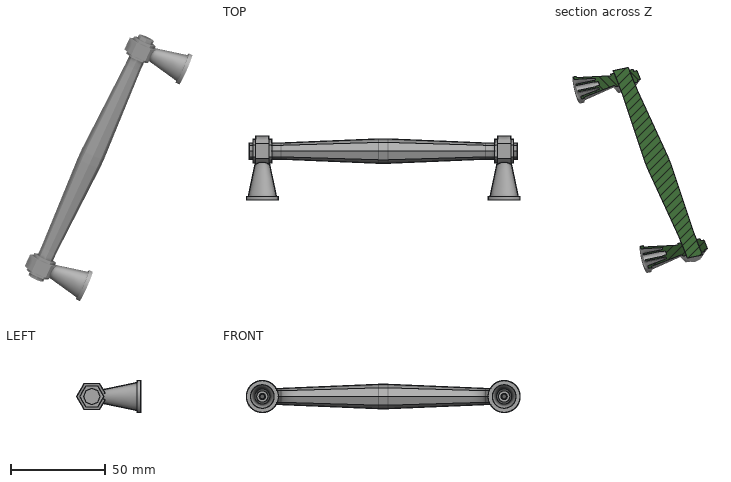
import cadquery as cq
import math

post_spacing = 128.0
foot_reach = 26.0

bar_sides = 8
bar_end_flats = 8.0
bar_middle_flats = 12.0
bar_middle_length = 5.0
bar_overhang = 7.0
bar_straight = 10.0

head_sides = 6
head_flats = 14.0
head_width = 7.0
collar_flats = 11.0
collar_width = 10.0

foot_diameter = 17.0
foot_thickness = 2.0
cone_base_diameter = 15.0
cone_top_diameter = 7.0
cone_top_offset = 5.0

recess_mouth_diameter = 12.5
recess_floor_diameter = 8.0
recess_depth = 11.0
boss_diameter = 6.0
screw_hole_diameter = 3.3
screw_hole_depth = 10.0
pilot_diameter = 2.5
pilot_depth = 12.0


def corner_diameter(flats, sides):
    """Across-corners size of a regular polygon from its across-flats size."""
    return flats / math.cos(math.pi / sides)


def polygon_at(x, flats, sides):
    """Regular polygon facing X at the given station, with corners on the Y axis."""
    plane = cq.Workplane("YZ", origin=(x, 0, 0))
    return plane.polygon(sides, corner_diameter(flats, sides))


def prism(x_start, x_end, flats, sides):
    return polygon_at(x_start, flats, sides).extrude(x_end - x_start)


def taper(x_start, x_end):
    """Bar section growing from the end size at x_start to the middle size at x_end."""
    start = polygon_at(x_start, bar_end_flats, bar_sides).wires().vals()[0]
    end = polygon_at(x_end, bar_middle_flats, bar_sides).wires().vals()[0]
    return cq.Workplane(cq.Solid.makeLoft([start, end], True))


def make_bar():
    half_middle = bar_middle_length / 2
    bar = prism(-half_middle, half_middle, bar_middle_flats, bar_sides)
    for side in (-1, 1):
        taper_end = side * (post_spacing / 2 - bar_straight)
        bar_end = side * (post_spacing / 2 + bar_overhang)
        bar = bar.union(taper(taper_end, side * half_middle))
        bar = bar.union(prism(taper_end, bar_end, bar_end_flats, bar_sides))
    return bar


def make_head(x):
    head = prism(x - head_width / 2, x + head_width / 2, head_flats, head_sides)
    collar = prism(x - collar_width / 2, x + collar_width / 2, collar_flats, head_sides)
    return head.union(collar)


def revolve_about_post(x, profile):
    """Turn a (radius, y) profile about the post axis."""
    return cq.Workplane("XY", origin=(x, 0, 0)).polyline(profile).close().revolve(360, (0, 0), (0, 1))


def make_stem(x):
    cone_base = foot_thickness - foot_reach
    return revolve_about_post(x, [
        (0, -foot_reach),
        (foot_diameter / 2, -foot_reach),
        (foot_diameter / 2, cone_base),
        (cone_base_diameter / 2, cone_base),
        (cone_top_diameter / 2, -cone_top_offset),
        (0, -cone_top_offset),
    ])


def make_recess(x):
    """Tapered ring that leaves the boss standing at its centre."""
    floor = recess_depth - foot_reach
    return revolve_about_post(x, [
        (recess_mouth_diameter / 2, -foot_reach),
        (recess_floor_diameter / 2, floor),
        (boss_diameter / 2, floor),
        (boss_diameter / 2, -foot_reach),
    ])


def make_screw_hole(x):
    """Blind stepped hole down the middle of the boss, narrowing to a pilot hole."""
    step = screw_hole_depth - foot_reach
    pilot_floor = pilot_depth - foot_reach
    return revolve_about_post(x, [
        (0, -foot_reach),
        (screw_hole_diameter / 2, -foot_reach),
        (screw_hole_diameter / 2, step),
        (pilot_diameter / 2, step),
        (pilot_diameter / 2, pilot_floor),
        (0, pilot_floor),
    ])


def make_post(x):
    bore = prism(x - collar_width, x + collar_width, bar_end_flats, bar_sides)
    post = make_head(x).union(make_stem(x))
    return post.cut(make_recess(x)).cut(make_screw_hole(x)).cut(bore)


bar = make_bar()
posts = [make_post(side * post_spacing / 2) for side in (-1, 1)]

result = cq.Compound.makeCompound([bar.val(), *[post.val() for post in posts]])